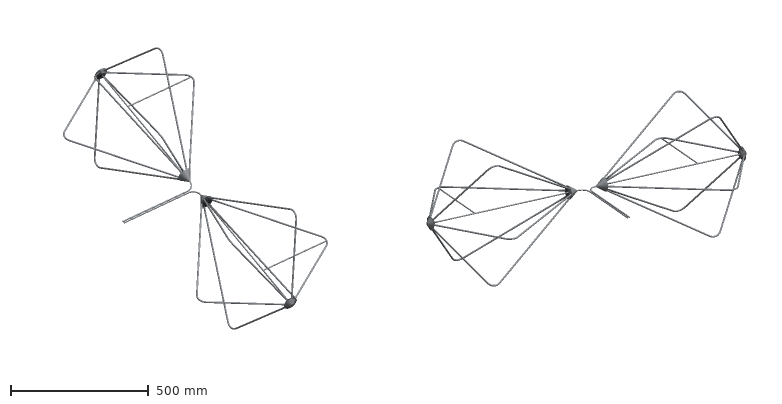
import cadquery as cq
import math


half_span = 664.0

loop_wire_diameter = 6.4
thin_wire_diameter = 5.0
lead_diameter = 5.0
embed = 4.0

feed_base_x = 76.0
feed_tip_x = 40.0
hub_radius = 27.0

rim_x = 650.0
cone_base_radius = 23.0
end_face_radius = 7.0
inner_face_x = 640.0
inner_face_radius = 13.0

loop_count = 6
cage_radius = 275.0
loop_apex_radius = cage_radius - loop_wire_diameter / 2
loop_apex_x = 457.0
bend_radius = 35.0
loop_slope = 34.1

brace_x = 465.0

lead_offset = 4.0
lead_bend_radius = 33.0
lead_end_y = -308.0


def rod(start, end, diameter):
    direction = end - start
    return cq.Workplane(cq.Solid.makeCylinder(diameter / 2, direction.Length, start, direction))


def revolve_about_axis(outline):
    return cq.Workplane("XY").polyline(outline).close().revolve(360, (0, 0, 0), (1, 0, 0))


def make_feed_hub():
    outline = [
        (feed_base_x, 0),
        (feed_base_x, hub_radius),
        (feed_tip_x, lead_diameter / 2),
        (feed_tip_x, 0),
    ]
    return revolve_about_axis(outline)


def make_end_hub():
    outline = [
        (inner_face_x, 0),
        (inner_face_x, inner_face_radius),
        (rim_x, hub_radius),
        (rim_x, cone_base_radius),
        (half_span, end_face_radius),
        (half_span, 0),
    ]
    return revolve_about_axis(outline)


def make_loop():
    """One bent wire in the XY plane, on the +Y side of the axis."""
    slope = math.radians(loop_slope)
    along = (math.cos(slope), math.sin(slope))
    across = (-along[1], along[0])
    center_y = loop_apex_radius - bend_radius

    long_tangent = (loop_apex_x + bend_radius * across[0], center_y + bend_radius * across[1])
    short_tangent = (loop_apex_x + bend_radius * along[0], center_y + bend_radius * along[1])

    long_end_x = feed_base_x - embed
    long_end = (long_end_x, long_tangent[1] - (long_tangent[0] - long_end_x) * math.tan(slope))
    short_end = (rim_x, short_tangent[1] - (rim_x - short_tangent[0]) / math.tan(slope))

    path = (
        cq.Workplane("XY")
        .moveTo(*long_end)
        .lineTo(*long_tangent)
        .threePointArc((loop_apex_x, loop_apex_radius), short_tangent)
        .lineTo(*short_end)
    )
    section = cq.Plane(origin=(*long_end, 0), normal=(*along, 0))
    return cq.Workplane(section).circle(loop_wire_diameter / 2).sweep(path)


def make_center_rod():
    start = cq.Vector(feed_base_x - embed, 0, 0)
    end = cq.Vector(inner_face_x + embed, 0, 0)
    return rod(start, end, thin_wire_diameter)


def make_brace():
    start = cq.Vector(brace_x, 0, 0)
    end = cq.Vector(brace_x, loop_apex_radius, 0)
    return rod(start, end, thin_wire_diameter)


def make_lead():
    """Wire from the tip of the feed hub, bent toward -Y."""
    start_x = feed_tip_x + embed
    bend_start_x = lead_offset + lead_bend_radius
    bend_mid = lead_bend_radius * math.sqrt(0.5)
    path = (
        cq.Workplane("XY")
        .moveTo(start_x, 0)
        .lineTo(bend_start_x, 0)
        .threePointArc(
            (bend_start_x - bend_mid, bend_mid - lead_bend_radius),
            (lead_offset, -lead_bend_radius),
        )
        .lineTo(lead_offset, lead_end_y)
    )
    section = cq.Workplane("YZ", origin=(start_x, 0, 0))
    return section.circle(lead_diameter / 2).sweep(path)


def make_element():
    """The +X half of the antenna as one solid."""
    element = make_feed_hub().union(make_end_hub()).union(make_center_rod())
    loop = make_loop()
    for index in range(loop_count):
        turned = loop.rotate((0, 0, 0), (1, 0, 0), index * 360 / loop_count)
        element = element.union(turned)
    return element.union(make_brace()).union(make_lead())


right_element = make_element()
left_element = right_element.mirror("YZ")

result = cq.Compound.makeCompound([left_element.val(), right_element.val()])